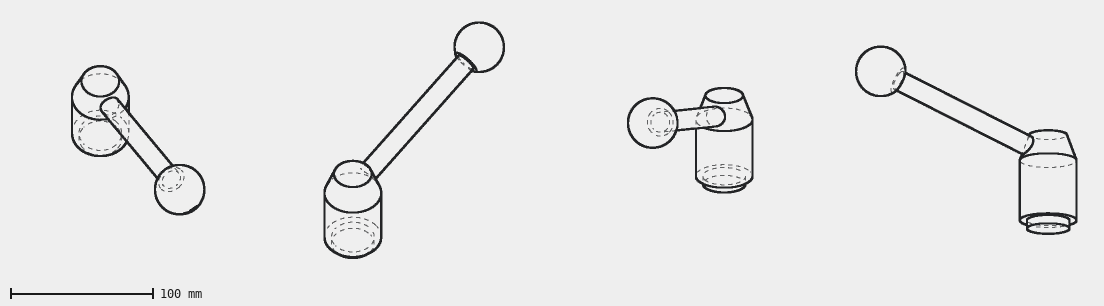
import cadquery as cq
import math

spigot_diameter = 30.0
spigot_height = 6.0
hub_diameter = 40.0
hub_shoulder_z = 49.5
hub_top_diameter = 26.5
hub_top_z = 68.0

lever_angle = 20.0
rod_diameter = 14.0

ball_diameter = 35.0
ball_flat_diameter = 19.5
ball_center_x = 129.81
ball_center_z = 99.82

ball_radius = ball_diameter / 2
trim_radius = ball_diameter
ball_flat_offset = math.sqrt(ball_radius**2 - (ball_flat_diameter / 2) ** 2)
lever_length = ball_center_x / math.cos(math.radians(lever_angle))
lever_start_z = ball_center_z - ball_center_x * math.tan(math.radians(lever_angle))

lever_plane = cq.Plane(
    origin=(0, 0, lever_start_z),
    xDir=(0, 1, 0),
    normal=(math.cos(math.radians(lever_angle)), 0, math.sin(math.radians(lever_angle))),
)


def make_hub():
    """Revolve the half profile of the hub about Z."""
    return (
        cq.Workplane("XZ")
        .lineTo(spigot_diameter / 2, 0)
        .lineTo(spigot_diameter / 2, spigot_height)
        .lineTo(hub_diameter / 2, spigot_height)
        .lineTo(hub_diameter / 2, hub_shoulder_z)
        .lineTo(hub_top_diameter / 2, hub_top_z)
        .lineTo(0, hub_top_z)
        .close()
        .revolve(360, (0, 0, 0), (0, 1, 0))
    )


def make_rod():
    """Rod from the hub axis to the center of the ball."""
    return cq.Workplane(lever_plane).circle(rod_diameter / 2).extrude(lever_length)


def make_ball():
    """Ball trimmed flat, square to the lever, on the side facing the hub."""
    ball = cq.Workplane("XY").sphere(ball_radius).translate((ball_center_x, 0, ball_center_z))
    trim = cq.Workplane(lever_plane).circle(trim_radius).extrude(lever_length - ball_flat_offset)
    return ball.cut(trim)


result = make_hub().union(make_rod()).union(make_ball())